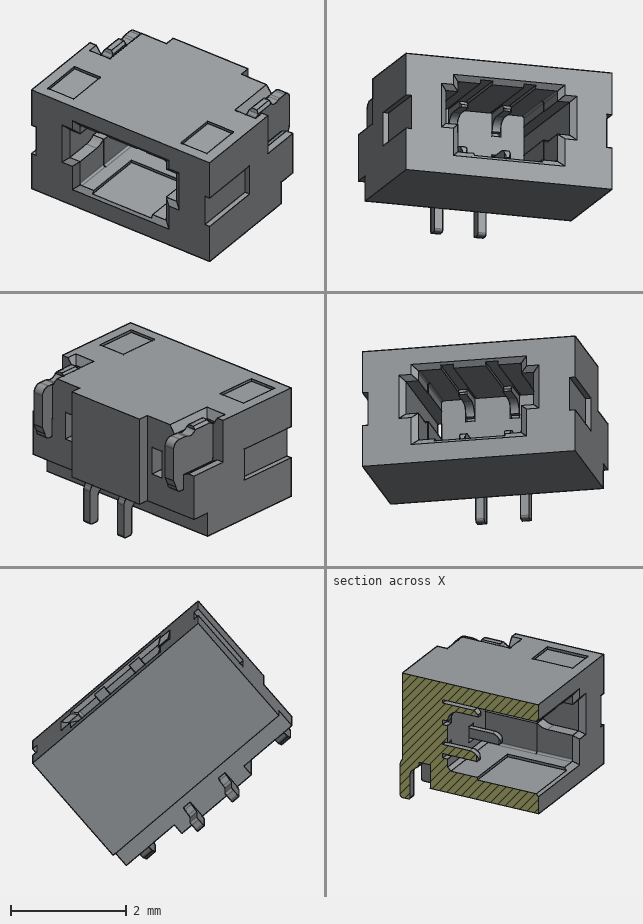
import cadquery as cq
import math

WIDTH = 3.8
HEIGHT = 2.1
BODY_DEPTH = 2.5
BACK_Y = 2.7
BOSS_WIDTH = 1.595
UNDERCUT_Y = 2.15
UNDERCUT_Z = 0.452

CAVITY_BACK_Y = 1.8
LEAD_IN_DEPTH = 0.08
MAIN_HALF_WIDTH = 0.92
MAIN_FLOOR_Z = 0.435
MAIN_CEILING_Z = 1.702
WING_HALF_WIDTH = 1.14
WING_FLOOR_Z = 0.927
WING_CEILING_Z = 1.52
LEAD_IN_X = 0.11
LEAD_IN_Z = 0.1
NARROW_Y = 0.783
NARROW_HALF_WIDTH = 0.91
CAVITY_FILLET = 0.038
CAVITY_RAMP = 0.065
WING_RAMP_LENGTH = 0.205
WING_REAR_FLOOR_Z = 1.005

FLOOR_RECESS_WIDTH = 1.255
FLOOR_RECESS_BACK_Y = 1.21
RECESS_DEPTH = 0.05
TOP_RECESS_X = 1.42
TOP_RECESS_WIDTH = 0.555
TOP_RECESS_FRONT_Y = 0.2
TOP_RECESS_LENGTH = 0.805
SIDE_RECESS_DEPTH = 0.1
SIDE_RECESS_LENGTH = 1.2
SIDE_RECESS_Z = 0.75
SIDE_RECESS_HEIGHT = 0.6

FITTING_X = 1.55
FITTING_THICKNESS = 0.2
SLOT_WIDTH = 0.215
SLOT_FRONT_Y = 1.66
SLOT_BEVEL = 0.105
SLOT_BEVEL_DEPTH = 0.152
LEDGE_BEVEL_DEPTH = 0.055
NOTCH_FRONT_Y = 1.75
NOTCH_Z = 1.292
FITTING_BACK_Y = 2.75
FITTING_TOP_Z = 1.96
FITTING_CORNER_LENGTH = 0.152
FITTING_CORNER_DROP = 0.133
HOOK_CURVE_Y = 2.59
HOOK_SLOPE_Z = 1.21
GROOVE_BACK_Y = 2.455
GROOVE_CURVE_Y = 2.4
FITTING_BOTTOM_Z = 0.95
CREST_Z = 2.0
COIN_HEIGHT = 0.055
CREST_FRONT_Y = 1.81
COIN_FRONT_Y = 1.835
COIN_BACK_Y = 2.2
COIN_WIDTH = 0.105

CUT_OVERLAP = 0.075
CONTACT_X = 0.4
CONTACT_WIDTH = 0.152
CONTACT_SLOT_WIDTH = 0.167
CONTACT_SLOT_DEPTH = 0.1
UPPER_SLOT_Z = 1.292
GROOVE_WIDTH = 0.22
GROOVE_TOP_Z = 1.76
LOWER_SLOT_Z = 0.65
LOWER_SLOT_HEIGHT = 0.305
TIP_Y = 1.2
LOWER_TIP_Z = 0.725
LOWER_TIP_HEIGHT = 0.185
LOWER_TIP_WIDTH = 0.105
LOWER_TIP_ROUND = 0.16
TIP_BEVEL = 0.023
ARM_ROOT_Z = 1.37
ARM_CURVE_RADIUS = 0.215
ARM_TIP_HEIGHT = 0.04
ARM_RAMP = 0.075
TAIL_BACK_Y = 2.75
TAIL_THICKNESS = 0.205
TAIL_BOTTOM_Z = -0.3
TAIL_SHOULDER_Y = 2.37
TAIL_SHOULDER_Z = 0.425
TAIL_BEND_Z = 0.182
TAIL_ROUND = 0.05


def block(x, y, z):
    """Box spanning the (low, high) pairs x, y and z."""
    size = [high - low for low, high in (x, y, z)]
    return cq.Workplane("XY").box(*size, centered=False).translate((x[0], y[0], z[0]))


def centred(middle, width):
    """Low and high ends of a width about a middle position."""
    return (middle - width / 2, middle + width / 2)


def both_sides(shape):
    """A shape together with its mirror image across X = 0."""
    return shape.union(shape.mirror("YZ"))


def side_plate(profile, x, thickness):
    """Plate with a closed (Y, Z) profile, centred on x."""
    return profile.extrude(thickness / 2, both=True).translate((x, 0, 0))


def lead_in(half_width, floor, ceiling):
    """Tapered entry that narrows from the front face to the given opening."""
    middle = (floor + ceiling) / 2
    height = ceiling - floor
    return (
        cq.Workplane("XZ", origin=(0, 0, middle))
        .rect(2 * (half_width + LEAD_IN_X), height + 2 * LEAD_IN_Z)
        .workplane(offset=-LEAD_IN_DEPTH)
        .rect(2 * half_width, height)
        .loft()
    )


def make_shell():
    shell = block(centred(0, WIDTH), (0, BODY_DEPTH), (0, HEIGHT))
    shell = shell.union(block(centred(0, BOSS_WIDTH), (0, BACK_Y), (0, HEIGHT)))
    return shell.cut(block(centred(0, WIDTH), (UNDERCUT_Y, BACK_Y), (0, UNDERCUT_Z)))


def main_cavity_parts():
    """Front and rear stretches of the main cavity, its lead-in and its floor recess."""
    main_z = (MAIN_FLOOR_Z, MAIN_CEILING_Z)
    front = block(centred(0, 2 * MAIN_HALF_WIDTH), (0, NARROW_Y), main_z)
    rear = block(centred(0, 2 * NARROW_HALF_WIDTH), (NARROW_Y, CAVITY_BACK_Y), main_z)
    rear = rear.faces(">Y").edges("<Z").chamfer(CAVITY_RAMP)
    rear = rear.edges("|Y").fillet(CAVITY_FILLET)
    front = front.edges("|Y").fillet(CAVITY_FILLET)
    floor_recess_z = (MAIN_FLOOR_Z - RECESS_DEPTH, MAIN_FLOOR_Z)
    floor_recess = block(centred(0, FLOOR_RECESS_WIDTH), (0, FLOOR_RECESS_BACK_Y), floor_recess_z)
    return [front, rear, lead_in(MAIN_HALF_WIDTH, *main_z), floor_recess]


def wing_parts():
    """Channels beside the main cavity, open at the rear, and their shared lead-in."""
    wing_profile = (
        cq.Workplane("YZ")
        .moveTo(0, WING_CEILING_Z)
        .lineTo(0, WING_FLOOR_Z)
        .lineTo(NARROW_Y - WING_RAMP_LENGTH, WING_FLOOR_Z)
        .tangentArcPoint((NARROW_Y, WING_REAR_FLOOR_Z), relative=False)
        .lineTo(BODY_DEPTH, WING_REAR_FLOOR_Z)
        .lineTo(BODY_DEPTH, WING_CEILING_Z)
        .close()
    )
    wing_width = WING_HALF_WIDTH - NARROW_HALF_WIDTH
    wing = side_plate(wing_profile, WING_HALF_WIDTH - wing_width / 2, wing_width)
    return [both_sides(wing), lead_in(WING_HALF_WIDTH, WING_FLOOR_Z, WING_CEILING_Z)]


def make_contact_openings():
    """Ceiling grooves and the shallow slots in the cavity's back wall."""
    groove_z = (MAIN_CEILING_Z - CUT_OVERLAP, GROOVE_TOP_Z)
    groove = block(centred(CONTACT_X, GROOVE_WIDTH), (0, CAVITY_BACK_Y), groove_z)
    slot_x = centred(CONTACT_X, CONTACT_SLOT_WIDTH)
    slot_y = (CAVITY_BACK_Y - CUT_OVERLAP, CAVITY_BACK_Y + CONTACT_SLOT_DEPTH)
    upper_slot = block(slot_x, slot_y, (UPPER_SLOT_Z, GROOVE_TOP_Z))
    lower_slot = block(slot_x, slot_y, (LOWER_SLOT_Z, LOWER_SLOT_Z + LOWER_SLOT_HEIGHT))
    return both_sides(groove.union(upper_slot).union(lower_slot))


def make_outer_recesses():
    top = block(
        centred(TOP_RECESS_X, TOP_RECESS_WIDTH),
        (TOP_RECESS_FRONT_Y, TOP_RECESS_FRONT_Y + TOP_RECESS_LENGTH),
        (HEIGHT - RECESS_DEPTH, HEIGHT),
    )
    side = block(
        (WIDTH / 2 - SIDE_RECESS_DEPTH, WIDTH / 2),
        (0, SIDE_RECESS_LENGTH),
        (SIDE_RECESS_Z, SIDE_RECESS_Z + SIDE_RECESS_HEIGHT),
    )
    return both_sides(top.union(side))


def make_fitting_space():
    """Bevelled slot for a fitting plate, open through the rear corner notch."""
    slot = block(centred(FITTING_X, SLOT_WIDTH), (SLOT_FRONT_Y, BODY_DEPTH), (NOTCH_Z, HEIGHT))
    notch = block((FITTING_X, WIDTH / 2), (NOTCH_FRONT_Y, BODY_DEPTH), (NOTCH_Z, HEIGHT))
    length = 2 * (BODY_DEPTH - SLOT_FRONT_Y)
    bevel = (
        cq.Workplane("XY", origin=(FITTING_X, BODY_DEPTH, HEIGHT))
        .rect(SLOT_WIDTH + 2 * SLOT_BEVEL, length + 2 * SLOT_BEVEL)
        .workplane(offset=-SLOT_BEVEL_DEPTH)
        .rect(SLOT_WIDTH, length)
        .loft()
    )
    ledge_bevel = (
        cq.Workplane("XZ", origin=(FITTING_X, NOTCH_FRONT_Y, NOTCH_Z))
        .moveTo(0, 0)
        .lineTo(SLOT_WIDTH / 2 + SLOT_BEVEL, 0)
        .lineTo(SLOT_WIDTH / 2, -LEDGE_BEVEL_DEPTH)
        .lineTo(0, -LEDGE_BEVEL_DEPTH)
        .close()
        .extrude(NOTCH_FRONT_Y - BODY_DEPTH)
    )
    return both_sides(slot.union(notch).union(bevel).union(ledge_bevel))


def make_fitting():
    """Upright plate with a raised, coined crest and a hook behind the housing."""
    profile = (
        cq.Workplane("YZ")
        .moveTo(SLOT_FRONT_Y, NOTCH_Z - LEDGE_BEVEL_DEPTH)
        .lineTo(BODY_DEPTH, NOTCH_Z - LEDGE_BEVEL_DEPTH)
        .lineTo(BODY_DEPTH, FITTING_BOTTOM_Z)
        .lineTo(HOOK_CURVE_Y, FITTING_BOTTOM_Z)
        .threePointArc(
            (HOOK_CURVE_Y + 0.065, FITTING_BOTTOM_Z + 0.038),
            (HOOK_CURVE_Y + 0.095, FITTING_BOTTOM_Z + 0.115),
        )
        .lineTo(FITTING_BACK_Y, HOOK_SLOPE_Z)
        .lineTo(FITTING_BACK_Y, FITTING_TOP_Z - FITTING_CORNER_DROP)
        .threePointArc(
            (FITTING_BACK_Y - 0.3 * FITTING_CORNER_LENGTH, FITTING_TOP_Z - 0.3 * FITTING_CORNER_DROP),
            (FITTING_BACK_Y - FITTING_CORNER_LENGTH, FITTING_TOP_Z),
        )
        .lineTo(GROOVE_BACK_Y, FITTING_TOP_Z)
        .lineTo(GROOVE_CURVE_Y, FITTING_TOP_Z - 0.01)
        .threePointArc((GROOVE_CURVE_Y - 0.085, FITTING_TOP_Z - 0.03), (COIN_BACK_Y, CREST_Z))
        .lineTo(CREST_FRONT_Y, CREST_Z)
        .threePointArc((CREST_FRONT_Y - 0.03, FITTING_TOP_Z + 0.01), (NOTCH_FRONT_Y, FITTING_TOP_Z))
        .threePointArc((SLOT_FRONT_Y + 0.04, FITTING_TOP_Z - 0.02), (SLOT_FRONT_Y, FITTING_TOP_Z - 0.06))
        .close()
    )
    plate = side_plate(profile, FITTING_X, FITTING_THICKNESS)
    crest_length = COIN_BACK_Y - CREST_FRONT_Y
    coin_length = COIN_BACK_Y - COIN_FRONT_Y
    coin = (
        cq.Workplane("XY", origin=(FITTING_X, (CREST_FRONT_Y + COIN_BACK_Y) / 2, CREST_Z))
        .rect(FITTING_THICKNESS, crest_length)
        .workplane(offset=COIN_HEIGHT)
        .center(0, (crest_length - coin_length) / 2)
        .rect(COIN_WIDTH, coin_length)
        .loft()
    )
    return both_sides(plate.union(coin))


def tapered_blade(width, root_y):
    """Full-height blade of a contact, bevelled at both sides of its tip."""
    blade = block(centred(CONTACT_X, width), (TIP_Y, root_y), (0, HEIGHT))
    return blade.faces("<Y").edges("|Z").chamfer(TIP_BEVEL)


def make_contact():
    """Upper spring arm, lower pin and bent solder tail of one contact."""
    root_y = CAVITY_BACK_Y + CONTACT_SLOT_DEPTH
    arm_z = ARM_ROOT_Z + ARM_CURVE_RADIUS
    curve_end_y = CAVITY_BACK_Y - ARM_CURVE_RADIUS
    arc_offset = ARM_CURVE_RADIUS * math.sqrt(0.5)
    upper_profile = (
        cq.Workplane("YZ")
        .moveTo(root_y, ARM_ROOT_Z)
        .lineTo(CAVITY_BACK_Y, ARM_ROOT_Z)
        .threePointArc((curve_end_y + arc_offset, ARM_ROOT_Z + arc_offset), (curve_end_y, arm_z))
        .lineTo(TIP_Y, arm_z)
        .lineTo(TIP_Y, arm_z + ARM_TIP_HEIGHT)
        .lineTo(TIP_Y + ARM_RAMP, arm_z + ARM_TIP_HEIGHT + ARM_RAMP)
        .lineTo(root_y, arm_z + ARM_TIP_HEIGHT + ARM_RAMP)
        .close()
    )
    upper = side_plate(upper_profile, CONTACT_X, CONTACT_WIDTH)
    upper = upper.intersect(tapered_blade(CONTACT_WIDTH, root_y))

    lower_top_z = LOWER_TIP_Z + LOWER_TIP_HEIGHT
    arc_inset = LOWER_TIP_ROUND * (1 - math.sqrt(0.5))
    lower_profile = (
        cq.Workplane("YZ")
        .moveTo(root_y, LOWER_TIP_Z)
        .lineTo(TIP_Y + TIP_BEVEL, LOWER_TIP_Z)
        .lineTo(TIP_Y, lower_top_z - LOWER_TIP_ROUND)
        .threePointArc((TIP_Y + arc_inset, lower_top_z - arc_inset), (TIP_Y + LOWER_TIP_ROUND, lower_top_z))
        .lineTo(root_y, lower_top_z)
        .close()
    )
    lower = side_plate(lower_profile, CONTACT_X, LOWER_TIP_WIDTH)
    lower = lower.intersect(tapered_blade(LOWER_TIP_WIDTH, root_y))

    tail_front_y = TAIL_BACK_Y - TAIL_THICKNESS
    tail_profile = (
        cq.Workplane("YZ")
        .moveTo(TAIL_SHOULDER_Y, UNDERCUT_Z)
        .lineTo(TAIL_SHOULDER_Y, TAIL_SHOULDER_Z)
        .threePointArc(
            (TAIL_SHOULDER_Y + 0.008, TAIL_SHOULDER_Z - 0.038),
            (TAIL_SHOULDER_Y + 0.03, TAIL_SHOULDER_Z - 0.07),
        )
        .lineTo(tail_front_y - 0.045, TAIL_BEND_Z + 0.09)
        .threePointArc((tail_front_y - 0.01, TAIL_BEND_Z + 0.05), (tail_front_y, TAIL_BEND_Z))
        .lineTo(tail_front_y, TAIL_BOTTOM_Z)
        .lineTo(TAIL_BACK_Y, TAIL_BOTTOM_Z)
        .lineTo(TAIL_BACK_Y, UNDERCUT_Z - 0.115)
        .threePointArc((TAIL_BACK_Y - 0.008, UNDERCUT_Z - 0.072), (BACK_Y + 0.02, UNDERCUT_Z - 0.035))
        .lineTo(BACK_Y, UNDERCUT_Z)
        .close()
    )
    tail = side_plate(tail_profile, CONTACT_X, CONTACT_WIDTH)
    tail = tail.faces("<Z").edges("|X").fillet(TAIL_ROUND)
    return both_sides(upper.union(lower).union(tail))


result = make_shell()
for cavity in main_cavity_parts() + wing_parts():
    result = result.cut(cavity)
result = (
    result
    .cut(make_contact_openings())
    .cut(make_outer_recesses())
    .cut(make_fitting_space())
    .union(make_fitting())
    .union(make_contact())
)